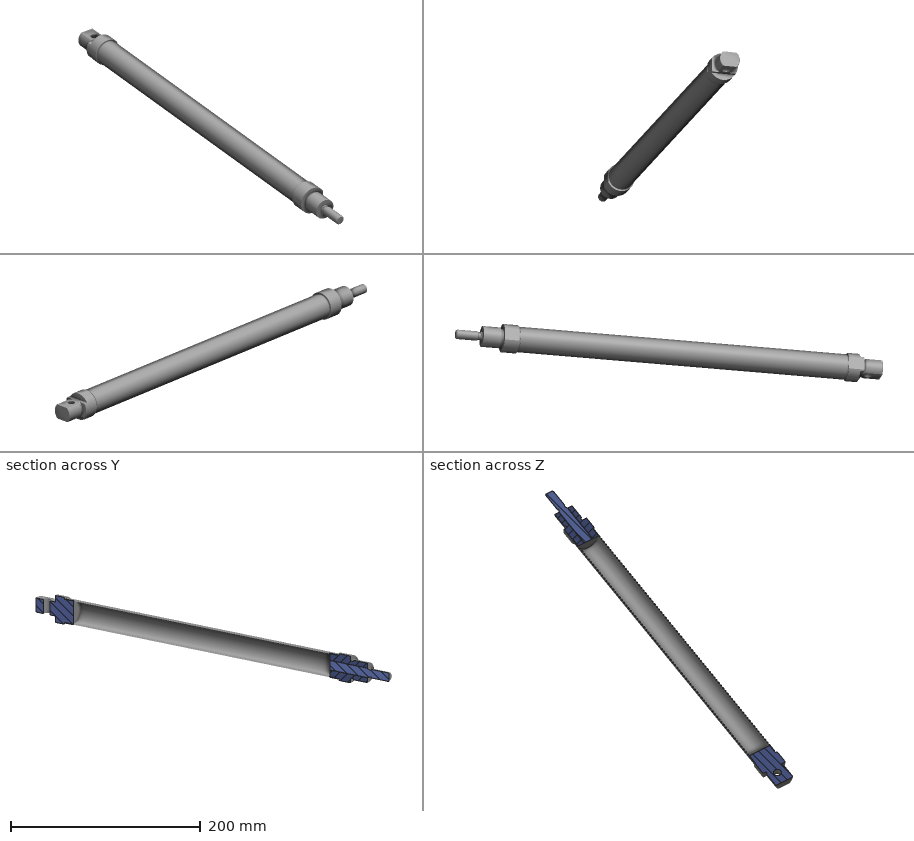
import cadquery as cq

lug_end = 19.4
lug_neck_end = 21.0
rear_cap_shoulder = 25.0
rear_cap_end = 37.7
front_cap_start = 394.0
front_cap_shoulder = 410.0
nose_start = 412.9
nose_end = 432.0
rod_collar_end = 433.5
rod_thread_start = 435.8
rod_end = 460.0

cap_diameter = 30.0
cap_shoulder_bevel_length = 1.4
cap_shoulder_bevel_depth = 0.2
rear_cap_end_chamfer = 0.5
cap_collar_diameter = 26.0
cap_collar_length = 1.4
port_flat_y = 13.5
thread_diameter = 22.0
thread_neck_diameter = 19.4
spigot_length = 10.0

lug_thickness = 16.0
lug_face_chamfer = 0.5
lug_neck_chamfer = (thread_diameter - thread_neck_diameter) / 2
pin_hole_diameter = 8.0
pin_hole_x = 14.0

tube_outer_diameter = 27.0
tube_bore = 25.0

rod_diameter = 10.0
rod_neck_diameter = 8.4
rod_chamfer = 1.0

tube_start = rear_cap_end + cap_collar_length
tube_end = front_cap_start - cap_collar_length
rear_spigot_end = tube_start + spigot_length
front_spigot_start = tube_end - spigot_length


def cylinder(x_start, x_end, diameter):
    """Solid cylinder on the X axis."""
    base = cq.Plane(origin=(x_start, 0, 0), xDir=(0, 0, 1), normal=(1, 0, 0))
    return cq.Workplane(base).circle(diameter / 2).extrude(x_end - x_start)


def flat_slab(x_end, thickness):
    """Slab centred on the axis, from the rear face of the lug to x_end."""
    return cq.Workplane("XY").box(x_end, cap_diameter, thickness, centered=(False, True, True))


def port_flat(x_start, x_end):
    """Block that cuts the flat on the +Y side of an end cap."""
    return (
        cq.Workplane("XY", origin=(x_start, port_flat_y, 0))
        .box(x_end - x_start, cap_diameter, cap_diameter, centered=(False, False, True))
    )


def make_tube():
    bore = cylinder(tube_start, tube_end, tube_bore)
    return cylinder(tube_start, tube_end, tube_outer_diameter).cut(bore)


def make_rear_cap():
    lug = (
        cylinder(0, lug_end, thread_diameter)
        .faces("<X")
        .chamfer(lug_face_chamfer)
        .faces(">X")
        .chamfer(lug_neck_chamfer)
    )
    neck = cylinder(lug_end, lug_neck_end, thread_neck_diameter)
    milled_end = rear_cap_shoulder + cap_shoulder_bevel_length
    milled_head = cylinder(lug_neck_end, milled_end, cap_diameter)
    clevis = lug.union(neck).union(milled_head).intersect(flat_slab(milled_end, lug_thickness))

    head = (
        cylinder(rear_cap_shoulder, rear_cap_end, cap_diameter)
        .faces("<X")
        .chamfer(cap_shoulder_bevel_length, cap_shoulder_bevel_depth)
        .faces(">X")
        .chamfer(rear_cap_end_chamfer)
    )
    collar = cylinder(rear_cap_end, tube_start, cap_collar_diameter)
    spigot = cylinder(tube_start, rear_spigot_end, tube_bore)
    pin_hole = (
        cq.Workplane("XY", origin=(pin_hole_x, 0, -lug_thickness / 2))
        .circle(pin_hole_diameter / 2)
        .extrude(lug_thickness)
    )
    cap = clevis.union(head).union(collar).union(spigot)
    return cap.cut(port_flat(lug_neck_end, rear_cap_end)).cut(pin_hole)


def make_front_cap():
    spigot = cylinder(front_spigot_start, tube_end, tube_bore)
    collar = cylinder(tube_end, front_cap_start, cap_collar_diameter)
    head = cylinder(front_cap_start, front_cap_shoulder, cap_diameter)
    neck = cylinder(front_cap_shoulder, nose_start, thread_neck_diameter)
    nose = cylinder(nose_start, nose_end, thread_diameter)
    cap = spigot.union(collar).union(head).union(neck).union(nose)
    cap = cap.cut(port_flat(front_cap_start, front_cap_shoulder))
    return cap.cut(cylinder(front_spigot_start, nose_end, rod_diameter))


def make_rod():
    shank = cylinder(front_spigot_start, rod_collar_end, rod_diameter)
    neck = cylinder(rod_collar_end, rod_thread_start, rod_neck_diameter)
    thread = cylinder(rod_thread_start, rod_end, rod_diameter).faces("<X or >X").chamfer(rod_chamfer)
    return shank.union(neck).union(thread)


tube = make_tube()
rear_cap = make_rear_cap()
front_cap = make_front_cap()
rod = make_rod()

result = cq.Compound.makeCompound([tube.val(), rear_cap.val(), front_cap.val(), rod.val()])